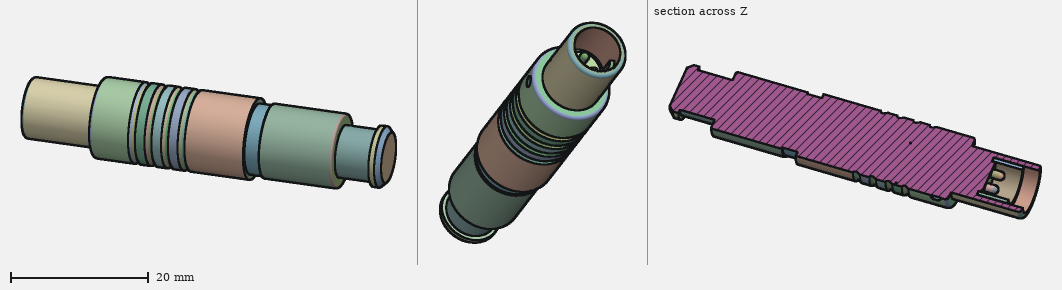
import cadquery as cq
import math


total_length = 54.5
body_start = 10.75
body_end = 34.2
barrel_start = 36.45
barrel_end = 47.5
flange_start = 52.8

plug_radius = 4.5
body_radius = 6.0
neck_radius = 5.25
barrel_radius = 5.5
tail_radius = 3.85
flange_radius = plug_radius

front_fillet = 0.5
barrel_fillet = 0.3
flange_chamfer = 0.8

groove_count = 4
groove_start = 16.8
groove_pitch = 2.5
groove_width = 1.05
groove_cone_length = groove_width / 2
groove_cone_depth = 0.25

socket_radius = 3.55
insert_radius = 2.9
half_shell_depth = 2.45
insert_depth = 6.55
keyway_depth = 7.1
pin_count = 3
pin_radius = 0.65
pin_circle_radius = 1.5
pin_tip_depth = 4.65

mark_x = 12.6
mark_radius = 0.8
mark_depth = 0.05


def cylinder(radius, start, end):
    """Solid cylinder on the X axis between two stations."""
    return cq.Workplane("YZ").workplane(offset=start).circle(radius).extrude(end - start)


def grip_groove(start):
    """Ring that cuts one grip groove into the body."""
    end = start + groove_width
    root = (start + groove_cone_length, body_radius - groove_cone_depth)
    profile = (
        cq.Workplane("XY")
        .moveTo(start, body_radius)
        .lineTo(*root)
        .tangentArcPoint((end, body_radius), relative=False)
        .close()
    )
    return profile.revolve(360, (0, 0, 0), (1, 0, 0))


def make_outside():
    """Stepped outside of the plug with its edge breaks and grip grooves."""
    plug = cylinder(plug_radius, 0, body_start).faces("<X").edges().fillet(front_fillet)
    body = cylinder(body_radius, body_start, body_end).faces("<X").edges().fillet(front_fillet)
    neck = cylinder(neck_radius, body_end, barrel_start)
    barrel = cylinder(barrel_radius, barrel_start, barrel_end).faces(">X").edges().fillet(barrel_fillet)
    tail = cylinder(tail_radius, barrel_end, flange_start)
    flange = cylinder(flange_radius, flange_start, total_length).faces(">X").edges().chamfer(flange_chamfer)
    for index in range(groove_count):
        body = body.cut(grip_groove(groove_start + index * groove_pitch))
    return plug.union(body).union(neck).union(barrel).union(tail).union(flange)


def make_socket():
    """Volume removed from the front, leaving a half shell below the axis around the insert."""
    mouth = cylinder(socket_radius, 0, half_shell_depth)
    bore = cylinder(insert_radius, 0, insert_depth)
    ring = cylinder(socket_radius, half_shell_depth, keyway_depth).cut(
        cylinder(insert_radius, half_shell_depth, keyway_depth)
    )
    upper_half = cq.Workplane("XY").box(
        keyway_depth, 2 * socket_radius, socket_radius, centered=(False, True, False)
    )
    return mouth.union(bore).union(ring.intersect(upper_half))


def contact_pin(y, z):
    """Round-nosed contact pin rooted in the insert."""
    nose_center = pin_tip_depth + pin_radius
    shank = cylinder(pin_radius, nose_center, keyway_depth)
    nose = cq.Workplane("XY").sphere(pin_radius).translate((nose_center, 0, 0))
    return shank.union(nose).translate((0, y, z))


def alignment_mark():
    """Disc that cuts the shallow round mark into the +Y side of the body."""
    floor = body_radius - mark_depth
    disc = cq.Workplane("XZ").center(mark_x, 0).circle(mark_radius).extrude(-mark_depth)
    return disc.translate((0, floor, 0))


result = make_outside().cut(make_socket()).cut(alignment_mark())
for index in range(pin_count):
    angle = math.radians(90 + index * 360 / pin_count)
    pin_y = pin_circle_radius * math.cos(angle)
    pin_z = pin_circle_radius * math.sin(angle)
    result = result.union(contact_pin(pin_y, pin_z))